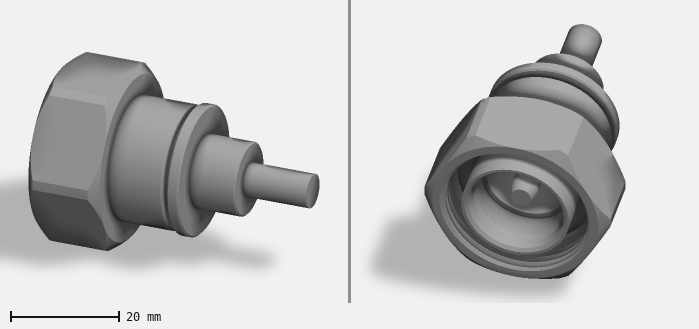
import cadquery as cq
import math

total_length = 50.43

nut_length = 14.3
across_flats = 31.75
nut_corner_radius = 35.58 / 2
nut_face_radius = across_flats / 2
nut_chamfer_length = 1.62
nut_bore_depth = 9.1

thread_minor_radius = 13.6
thread_major_radius = 14.5
thread_pitch = 1.5
thread_length = 7.2
thread_start_angle = 85
thread_flank_angle = math.radians(36)
nut_mouth_radius = 14.2
nut_mouth_chamfer = nut_mouth_radius - thread_minor_radius

sleeve_outer_radius = 10.3
sleeve_bore_radius = 9.1
sleeve_mouth_radius = 9.7
sleeve_mouth_chamfer = sleeve_mouth_radius - sleeve_bore_radius
inner_bore_radius = 7.9
inner_bore_depth = 18.0

seal_outer_radius = 12.8
seal_inner_radius = 10.2
seal_section_radius = (seal_outer_radius - seal_inner_radius) / 2
seal_center_radius = seal_inner_radius + seal_section_radius
seal_sink = sleeve_outer_radius - seal_inner_radius
seal_center_x = nut_bore_depth + seal_sink - seal_section_radius

pin_radius = 2.5
pin_tip_radius = 1.9
pin_tip_x = 4.3
pin_nose_length = 3.0
pin_nose_start_slope = 0.5
collar_radius = 3.5
collar_height = 0.5

body_radius = 11.93
body_end = 25.1
groove_radius = 10.25
groove_end = 26.3
flange_radius = 12.5
flange_end = 28.6
ferrule_radius = 7.05
ferrule_end = 37.7
cable_radius = 3.25
edge_chamfer = 0.3

overlap = 0.1


def cylinder(start_x, end_x, radius):
    """Solid cylinder on the X axis between two stations."""
    return cq.Workplane("YZ", origin=(start_x, 0, 0)).circle(radius).extrude(end_x - start_x)


def revolve_profile(points):
    """Closed outline of (x, radius) points turned about the X axis."""
    return cq.Workplane("XY").polyline(points).close().revolve(360, (0, 0, 0), (1, 0, 0))


def make_nut():
    """Hexagon with rounded corners, coned at both ends."""
    corner_diameter = across_flats / math.cos(math.pi / 6)
    hexagon = cq.Workplane("YZ").polygon(6, corner_diameter).extrude(nut_length)
    envelope = revolve_profile([
        (0, 0),
        (0, nut_face_radius),
        (nut_chamfer_length, nut_corner_radius),
        (nut_length - nut_chamfer_length, nut_corner_radius),
        (nut_length, nut_face_radius),
        (nut_length, 0),
    ])
    return hexagon.intersect(envelope)


def make_rear_body():
    """Body, groove, flange, ferrule and cable behind the nut."""
    body = cylinder(nut_bore_depth, body_end, body_radius).faces(">X").chamfer(edge_chamfer)
    groove = cylinder(body_end - overlap, groove_end + overlap, groove_radius)
    flange = cylinder(groove_end, flange_end, flange_radius).edges().chamfer(edge_chamfer)
    ferrule = cylinder(flange_end - overlap, ferrule_end, ferrule_radius).faces(">X").chamfer(edge_chamfer)
    cable = cylinder(ferrule_end - overlap, total_length, cable_radius)
    return body.union(groove).union(flange).union(ferrule).union(cable)


def make_thread_groove():
    """Right-handed helical V groove about the X axis, starting ahead of the nut face."""
    inner_radius = thread_minor_radius - overlap
    half_width = (thread_major_radius - inner_radius) * math.tan(thread_flank_angle)
    helix = cq.Wire.makeHelix(thread_pitch, thread_length + thread_pitch, thread_minor_radius)
    groove = (
        cq.Workplane("XZ")
        .polyline([(inner_radius, -half_width), (thread_major_radius, 0), (inner_radius, half_width)])
        .close()
        .sweep(cq.Workplane(helix), isFrenet=True)
    )
    groove = groove.rotate((0, 0, 0), (0, 1, 0), 90).translate((-thread_pitch, 0, 0))
    return groove.rotate((0, 0, 0), (1, 0, 0), thread_start_angle)


def cut_nut_bore(part):
    """Open the front of the nut with a chamfered mouth and cut its thread."""
    bore = revolve_profile([
        (0, 0),
        (0, nut_mouth_radius),
        (nut_mouth_chamfer, thread_minor_radius),
        (nut_bore_depth, thread_minor_radius),
        (nut_bore_depth, 0),
    ])
    return part.cut(make_thread_groove()).cut(bore)


def cut_sleeve_bore(part):
    """Stepped bore of the sleeve with its chamfered mouth."""
    bore = revolve_profile([
        (0, 0),
        (0, sleeve_mouth_radius),
        (sleeve_mouth_chamfer, sleeve_bore_radius),
        (nut_bore_depth, sleeve_bore_radius),
        (nut_bore_depth, inner_bore_radius),
        (inner_bore_depth, inner_bore_radius),
        (inner_bore_depth, 0),
    ])
    return part.cut(bore)


def make_seal():
    """Round-section ring about the X axis."""
    ring = cq.Solid.makeTorus(
        seal_center_radius,
        seal_section_radius,
        cq.Vector(seal_center_x, 0, 0),
        cq.Vector(1, 0, 0),
    )
    return cq.Workplane(ring)


def make_pin():
    """Center pin with a rounded nose that meets the shank tangentially."""
    nose_end = pin_tip_x + pin_nose_length
    pin_end = inner_bore_depth + overlap
    collar_start = inner_bore_depth - collar_height
    return (
        cq.Workplane("XY")
        .moveTo(pin_tip_x, 0)
        .lineTo(pin_tip_x, pin_tip_radius)
        .spline([(nose_end, pin_radius)], tangents=[(1, pin_nose_start_slope), (1, 0)], includeCurrent=True)
        .lineTo(collar_start, pin_radius)
        .lineTo(collar_start, collar_radius)
        .lineTo(pin_end, collar_radius)
        .lineTo(pin_end, 0)
        .close()
        .revolve(360, (0, 0, 0), (1, 0, 0))
    )


part = cut_nut_bore(make_nut()).union(make_rear_body())
part = part.union(cylinder(0, nut_bore_depth + overlap, sleeve_outer_radius))
part = cut_sleeve_bore(part.union(make_seal()))
result = part.union(make_pin())